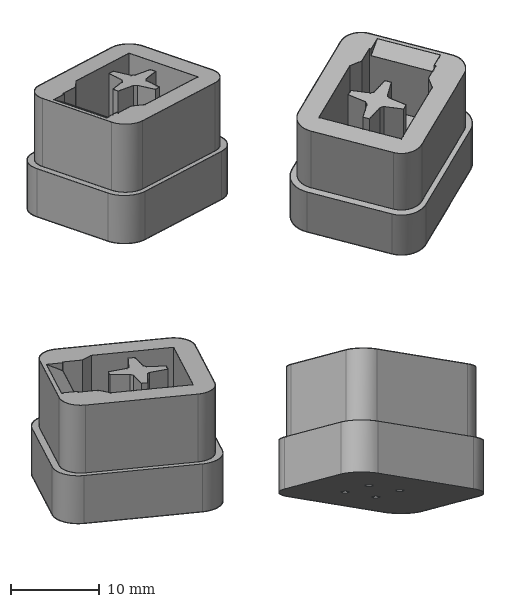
import cadquery as cq

base_width = 16.3
base_length = 19.7
base_height = 6.0
base_corner_radius = 3.0
block_width = 15.01
block_length = 18.0
block_corner_radius = 2.5
total_height = 14.5

cavity_width = 10.0
wall_thickness = (block_width - cavity_width) / 2
floor_z = base_height
cavity_back_y = block_length / 2 - wall_thickness
taper_start_y = -3.01
neck_start_y = -4.3
neck_end_y = -6.58
neck_width = 8.08

ramp_width = 7.65
ramp_end_y = -8.5
ramp_drop = 1.0

post_center_y = 1.26
arm_reach = 3.37
arm_tip_half_width = 0.4
arm_root_half_width = 0.8
arm_root_distance = 1.12
hole_diameter = 0.9
hole_spacing = 4.4


def rounded_block(width, length, bottom_z, top_z, corner_radius):
    block = cq.Workplane("XY").workplane(offset=bottom_z).rect(width, length)
    return block.extrude(top_z - bottom_z).edges("|Z").fillet(corner_radius)


def cavity():
    right_side = [
        (cavity_width / 2, cavity_back_y),
        (cavity_width / 2, taper_start_y),
        (neck_width / 2, neck_start_y),
        (neck_width / 2, neck_end_y),
    ]
    left_side = [(-x, y) for x, y in reversed(right_side)]
    outline = cq.Workplane("XY").workplane(offset=floor_z).polyline(right_side + left_side)
    return outline.close().extrude(total_height - floor_z)


def ramp_cut():
    profile = [
        (neck_end_y, total_height),
        (neck_end_y, total_height - ramp_drop),
        (ramp_end_y, total_height),
    ]
    return cq.Workplane("YZ").polyline(profile).close().extrude(ramp_width / 2, both=True)


def star_post():
    arm = [
        (arm_root_distance, -arm_root_half_width),
        (arm_reach, -arm_tip_half_width),
        (arm_reach, arm_tip_half_width),
        (arm_root_distance, arm_root_half_width),
    ]
    outline = []
    for _ in range(4):
        outline += arm
        arm = [(-y, x) for x, y in arm]
    post = cq.Workplane("XY").polyline(outline).close().extrude(total_height)
    return post.translate((0, post_center_y, 0))


def floor_holes():
    holes = cq.Workplane("XY").center(0, post_center_y)
    holes = holes.rarray(hole_spacing, hole_spacing, 2, 2).circle(hole_diameter / 2)
    return holes.extrude(total_height)


base = rounded_block(base_width, base_length, 0, base_height, base_corner_radius)
block = rounded_block(block_width, block_length, 0, total_height, block_corner_radius)
body = base.union(block).cut(cavity()).cut(ramp_cut())
result = body.union(star_post()).cut(floor_holes())